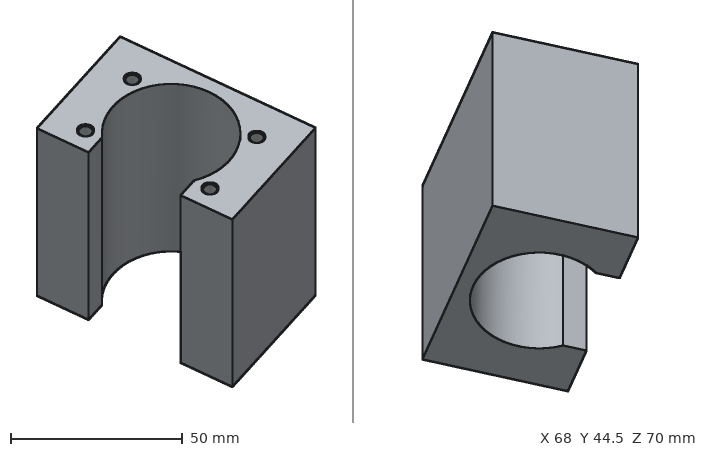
import cadquery as cq
import math

width = 68.0
depth = 44.5
height = 70.0

bore_diameter = 40.4
bore_to_front = 19.5
slot_width = 32.0

hole_diameter = 4.1
countersink_diameter = 5.0
hole_depth = 14.0
drill_tip_angle = 118.0
hole_circle_diameter = 50.0
hole_angles = (30, 150, 210, 330)


def make_block():
    """Block with its bottom on Z = 0 and the bore axis on the Z axis."""
    block = cq.Workplane("XY").box(width, depth, height, centered=(True, False, False))
    return block.translate((0, -bore_to_front, 0))


def make_channel():
    """Full-height bore joined to the slot that opens the front face."""
    bore = cq.Workplane("XY").circle(bore_diameter / 2).extrude(height)
    slot = cq.Workplane("XY").box(slot_width, bore_to_front, height, centered=(True, False, False))
    return bore.union(slot.translate((0, -bore_to_front, 0)))


def make_hole():
    """Revolved cutter: 45 degree countersink, straight wall and conical drill tip."""
    hole_radius = hole_diameter / 2
    rim_radius = countersink_diameter / 2
    countersink_depth = rim_radius - hole_radius
    tip_length = hole_radius / math.tan(math.radians(drill_tip_angle / 2))
    profile = (
        cq.Workplane("XZ")
        .moveTo(0, height)
        .lineTo(rim_radius, height)
        .lineTo(hole_radius, height - countersink_depth)
        .lineTo(hole_radius, height - hole_depth)
        .lineTo(0, height - hole_depth - tip_length)
        .close()
    )
    return profile.revolve(360, (0, 0, 0), (0, 1, 0))


result = make_block().cut(make_channel())

hole_cutter = make_hole()
for angle in hole_angles:
    hole_x = hole_circle_diameter / 2 * math.cos(math.radians(angle))
    hole_y = hole_circle_diameter / 2 * math.sin(math.radians(angle))
    result = result.cut(hole_cutter.translate((hole_x, hole_y, 0)))